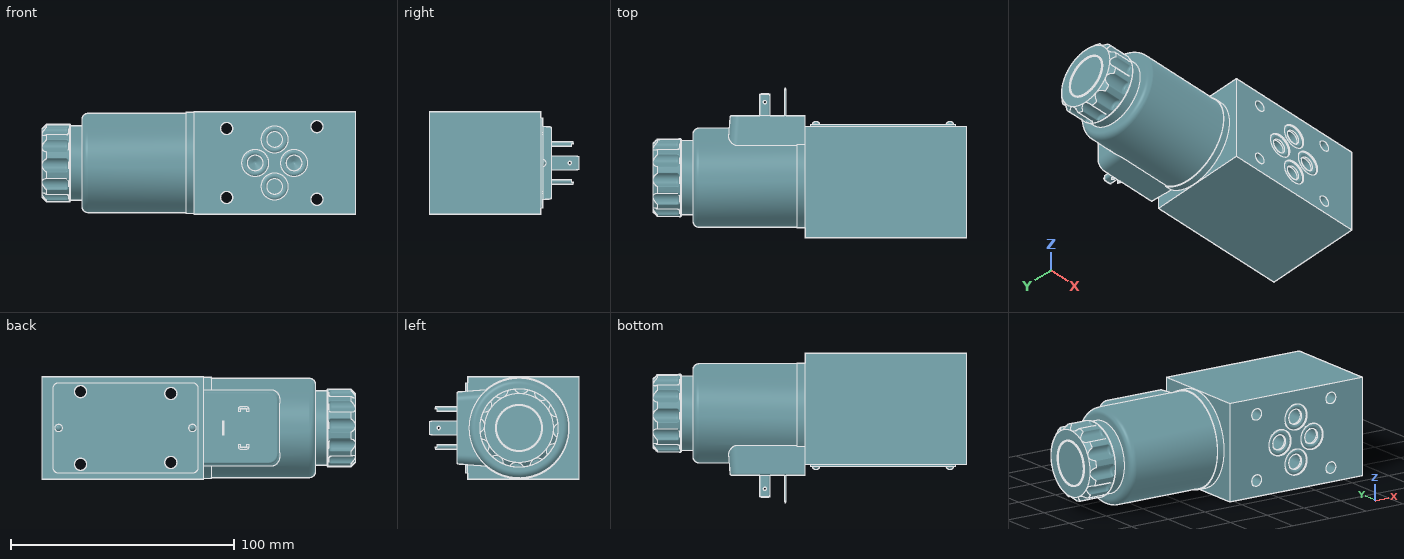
import cadquery as cq
import math


BLOCK_LENGTH = 72.3
BLOCK_DEPTH = 50.0
BLOCK_HEIGHT = 46.0
BLOCK_BACK = 23.0
BLOCK_FRONT = BLOCK_BACK - BLOCK_DEPTH
OVERALL_LENGTH = 140.4
OVERALL_DEPTH = 67.1

BOLT_HOLE_PAIRS = [(14.6, 15.5), (55.0, 16.3)]
BOLT_HOLE_DIAMETER = 5.3

PORT_CENTER_X = 36.1
DRILLED_PORT_OFFSET_X = 8.7
FLAT_PORT_OFFSET_Z = 10.5
PORT_RADIUS = 3.5
PORT_DEPTH = 11.2
DRILL_POINT_ANGLE = 118
RING_OUTER_RADIUS = 6.0
RING_CROWN_RISE = 0.7
RING_SEAT_DEPTH = 1.7

PLATE_START = 2.4
PLATE_LENGTH = 65.0
PLATE_HEIGHT = 40.4
PLATE_THICKNESS = 0.8
PLATE_CORNER_RADIUS = 2.5
RIVET_INSET = 2.5
RIVET_RADIUS = 1.7
RIVET_RISE = 1.4

COIL_RADIUS = 22.3
COIL_LENGTH = 50.3
COIL_FILLET = 3.0
FLANGE_HALF_DEPTH = 22.5
FLANGE_HALF_HEIGHT = 22.7
FLANGE_THICKNESS = 3.5
NECK_RADIUS = 16.7

NUT_RADIUS = 17.5
NUT_START = -55.3
NUT_END = BLOCK_LENGTH - OVERALL_LENGTH
NUT_LENGTH = NUT_START - NUT_END
NUT_FACE_CHAMFER = 2.1
NUT_REAR_CHAMFER = 0.4
FLUTE_COUNT = 12
FLUTE_ANGLE = 3.6
FLUTE_RADIUS = 3.4
FLUTE_DEPTH = 2.1
FLUTE_END_WALL = 1.0
FLUTE_END_FILLET = 1.1
RIB_FILLET = 0.4
FACE_GROOVE_RADIUS = 10.5
FACE_GROOVE_WIDTH = 0.4
FACE_GROOVE_DEPTH = 0.4

HEAD_LENGTH = 35.5
HEAD_HALF_WIDTH = 18.1
HEAD_CORNER_RADIUS = 4.4
HEAD_TOP = 27.8
HEAD_DRAFT = 4.0
HEAD_RIM_FILLET = 0.8

BLADE_HOLE_DIAMETER = 1.4
GROUND_X = -8.8
GROUND_WIDTH = 6.3
GROUND_THICKNESS = 0.8
GROUND_TIP = BLOCK_FRONT + OVERALL_DEPTH
GROUND_HOLE_Y = 36.0
GROUND_TIP_LENGTH = 1.3
GROUND_TIP_INSET = 0.3
CHANNEL_X = -18.0
CHANNEL_WIDTH = 4.8
CHANNEL_OUTER_Z = 9.5
CHANNEL_DEPTH = 2.1
CHANNEL_WALL = 1.0
CHANNEL_CORNER_RADIUS = 1.1
CHANNEL_TIP = 37.6
CHANNEL_HOLE_Y = 33.8
CHANNEL_TIP_LENGTH = 0.8
CHANNEL_TIP_INSET = 0.3


def axial_cylinder(radius, start, end):
    """Cylinder about the X axis from x = start to x = end."""
    return cq.Workplane("YZ", origin=(start, 0, 0)).circle(radius).extrude(end - start)


def depth_cylinder(radius, x, z, start, end):
    """Cylinder along Y at (x, z), from y = start to y = end."""
    return cq.Workplane("XZ", origin=(x, start, z)).circle(radius).extrude(start - end)


def port_places():
    """Drilled ports left and right, flat ports above and below: (x, z, drilled)."""
    places = []
    for side in (-1, 1):
        places.append((PORT_CENTER_X + side * DRILLED_PORT_OFFSET_X, 0, True))
        places.append((PORT_CENTER_X, side * FLAT_PORT_OFFSET_Z, False))
    return places


def make_block():
    return (
        cq.Workplane("XY")
        .box(BLOCK_LENGTH, BLOCK_DEPTH, BLOCK_HEIGHT, centered=(False, False, True))
        .translate((0, BLOCK_FRONT, 0))
    )


def make_name_plate():
    plate_center = PLATE_START + PLATE_LENGTH / 2
    plate = (
        cq.Workplane("XZ", origin=(plate_center, BLOCK_BACK, 0))
        .rect(PLATE_LENGTH, PLATE_HEIGHT)
        .extrude(-PLATE_THICKNESS)
        .edges("|Y")
        .fillet(PLATE_CORNER_RADIUS)
    )
    plate_top = BLOCK_BACK + PLATE_THICKNESS
    dome_radius = (RIVET_RADIUS**2 + RIVET_RISE**2) / (2 * RIVET_RISE)
    dome_center_y = plate_top + RIVET_RISE - dome_radius
    for side in (-1, 1):
        rivet_x = plate_center + side * (PLATE_LENGTH / 2 - RIVET_INSET)
        dome = cq.Workplane("XY").sphere(dome_radius).translate((rivet_x, dome_center_y, 0))
        rivet_column = depth_cylinder(RIVET_RADIUS, rivet_x, 0, BLOCK_BACK, plate_top + RIVET_RISE)
        plate = plate.union(dome.intersect(rivet_column))
    return plate


def cut_bolt_holes(body):
    plate_top = BLOCK_BACK + PLATE_THICKNESS
    for x, half_spacing in BOLT_HOLE_PAIRS:
        for side in (-1, 1):
            hole = depth_cylinder(BOLT_HOLE_DIAMETER / 2, x, side * half_spacing, BLOCK_FRONT, plate_top)
            body = body.cut(hole)
    return body


def cut_ports(body):
    port_end = BLOCK_FRONT + PORT_DEPTH
    point_length = PORT_RADIUS / math.tan(math.radians(DRILL_POINT_ANGLE / 2))
    for x, z, drilled in port_places():
        body = body.cut(depth_cylinder(RING_OUTER_RADIUS, x, z, BLOCK_FRONT, BLOCK_FRONT + RING_SEAT_DEPTH))
        body = body.cut(depth_cylinder(PORT_RADIUS, x, z, BLOCK_FRONT, port_end))
        if drilled:
            point_base = cq.Vector(x, port_end, z)
            point = cq.Solid.makeCone(PORT_RADIUS, 0, point_length, point_base, cq.Vector(0, 1, 0))
            body = body.cut(cq.Workplane(point))
    return body


def make_coil():
    coil = axial_cylinder(COIL_RADIUS, -COIL_LENGTH, 0).faces("<X").edges().fillet(COIL_FILLET)
    flange = (
        cq.Workplane("YZ", origin=(-FLANGE_THICKNESS, 0, 0))
        .ellipse(FLANGE_HALF_DEPTH, FLANGE_HALF_HEIGHT)
        .extrude(FLANGE_THICKNESS)
    )
    neck = axial_cylinder(NECK_RADIUS, NUT_START, -COIL_LENGTH)
    return coil.union(flange).union(neck)


def make_flute():
    """Round-bottomed cutter that opens through the nut face and ends short of the rear."""
    center_y = NUT_RADIUS - FLUTE_DEPTH + FLUTE_RADIUS
    return (
        cq.Workplane("YZ", origin=(NUT_END, center_y, 0))
        .circle(FLUTE_RADIUS)
        .extrude(NUT_LENGTH - FLUTE_END_WALL)
        .faces(">X")
        .edges()
        .fillet(FLUTE_END_FILLET)
    )


def is_on_nut_surface(edge):
    middle = edge.positionAt(0.5)
    return math.isclose(math.hypot(middle.y, middle.z), NUT_RADIUS, abs_tol=0.01)


def make_nut():
    nut = axial_cylinder(NUT_RADIUS, NUT_END, NUT_START)
    flute = make_flute()
    for index in range(FLUTE_COUNT):
        turn = FLUTE_ANGLE + index * 360 / FLUTE_COUNT
        nut = nut.cut(flute.rotate((0, 0, 0), (1, 0, 0), turn))
    nut = nut.edges("not (<X or >X)").filter(is_on_nut_surface).fillet(RIB_FILLET)
    chamfered_envelope = (
        axial_cylinder(NUT_RADIUS, NUT_END, NUT_START)
        .faces("<X")
        .edges()
        .chamfer(NUT_FACE_CHAMFER)
        .faces(">X")
        .edges()
        .chamfer(NUT_REAR_CHAMFER)
    )
    nut = nut.intersect(chamfered_envelope)
    groove = axial_cylinder(FACE_GROOVE_RADIUS, NUT_END, NUT_END + FACE_GROOVE_DEPTH).cut(
        axial_cylinder(FACE_GROOVE_RADIUS - FACE_GROOVE_WIDTH, NUT_END, NUT_END + FACE_GROOVE_DEPTH)
    )
    return nut.cut(groove)


def make_head():
    """Connector head with drafted sides, narrowing to +Y, and square to the block face at x = 0."""
    mirrored_head = (
        cq.Workplane("XZ")
        .rect(2 * HEAD_LENGTH, 2 * HEAD_HALF_WIDTH)
        .extrude(-HEAD_TOP, taper=HEAD_DRAFT)
        .edges("not #Y")
        .fillet(HEAD_CORNER_RADIUS)
        .faces(">Y")
        .edges()
        .fillet(HEAD_RIM_FILLET)
    )
    coil_side = cq.Workplane("XY").box(
        HEAD_LENGTH, 2 * HEAD_TOP, 2 * HEAD_HALF_WIDTH, centered=(False, True, True)
    ).translate((-HEAD_LENGTH, 0, 0))
    return mirrored_head.intersect(coil_side)


def make_ground_blade():
    """Flat blade across X, with a tapered tip and a cross hole."""
    shoulder = GROUND_TIP - GROUND_TIP_LENGTH
    blade = (
        cq.Workplane("XZ", origin=(GROUND_X, COIL_RADIUS, 0))
        .rect(GROUND_THICKNESS, GROUND_WIDTH)
        .extrude(COIL_RADIUS - shoulder)
    )
    tip = (
        cq.Workplane("XZ", origin=(GROUND_X, shoulder, 0))
        .rect(GROUND_THICKNESS, GROUND_WIDTH)
        .workplane(offset=-GROUND_TIP_LENGTH)
        .rect(GROUND_THICKNESS - 2 * GROUND_TIP_INSET, GROUND_WIDTH - 2 * GROUND_TIP_INSET)
        .loft()
    )
    hole = (
        cq.Workplane("YZ", origin=(GROUND_X, GROUND_HOLE_Y, 0))
        .circle(BLADE_HOLE_DIAMETER / 2)
        .extrude(GROUND_THICKNESS, both=True)
    )
    return blade.union(tip).cut(hole)


def make_channel_blade():
    """Sheet contact bent to a channel that opens toward the coil axis, with a longer web than flanges."""
    flange_tip = CHANNEL_TIP - CHANNEL_TIP_LENGTH
    blade_length = CHANNEL_TIP - COIL_RADIUS
    web_inner_z = CHANNEL_OUTER_Z - CHANNEL_WALL
    blade = (
        cq.Workplane("XZ", origin=(CHANNEL_X, COIL_RADIUS, CHANNEL_OUTER_Z - CHANNEL_DEPTH / 2))
        .rect(CHANNEL_WIDTH, CHANNEL_DEPTH)
        .extrude(-blade_length)
        .edges("|Y and >Z")
        .fillet(CHANNEL_CORNER_RADIUS)
        .faces(">Y")
        .edges(">Z")
        .chamfer(CHANNEL_TIP_LENGTH, CHANNEL_TIP_INSET)
    )
    channel_space = cq.Workplane("XY").box(
        CHANNEL_WIDTH - 2 * CHANNEL_WALL, blade_length, CHANNEL_DEPTH, centered=(True, False, False)
    ).translate((CHANNEL_X, COIL_RADIUS, web_inner_z - CHANNEL_DEPTH))
    flange_end_space = cq.Workplane("XY").box(
        CHANNEL_WIDTH, CHANNEL_TIP_LENGTH, CHANNEL_DEPTH, centered=(True, False, False)
    ).translate((CHANNEL_X, flange_tip, web_inner_z - CHANNEL_DEPTH))
    hole = (
        cq.Workplane("XY", origin=(CHANNEL_X, CHANNEL_HOLE_Y, 0))
        .circle(BLADE_HOLE_DIAMETER / 2)
        .extrude(CHANNEL_OUTER_Z)
    )
    return blade.cut(channel_space).cut(flange_end_space).cut(hole)


def make_valve():
    valve = make_block().union(make_name_plate())
    valve = cut_bolt_holes(valve)
    valve = cut_ports(valve)
    valve = valve.union(make_coil()).union(make_nut()).union(make_head())
    channel_blade = make_channel_blade()
    valve = valve.union(channel_blade).union(channel_blade.mirror("XY"))
    return valve.union(make_ground_blade())


def make_o_ring(x, z):
    """Pressed O-ring that fills a port counterbore, with a crown that rises flush with the front face."""
    crown_edge_y = BLOCK_FRONT + RING_CROWN_RISE
    seat_y = BLOCK_FRONT + RING_SEAT_DEPTH
    crown_radius = (PORT_RADIUS + RING_OUTER_RADIUS) / 2
    section = (
        cq.Workplane("XY")
        .moveTo(PORT_RADIUS, seat_y)
        .lineTo(PORT_RADIUS, crown_edge_y)
        .threePointArc((crown_radius, BLOCK_FRONT), (RING_OUTER_RADIUS, crown_edge_y))
        .lineTo(RING_OUTER_RADIUS, seat_y)
        .close()
    )
    ring = section.revolve(360, (0, 0, 0), (0, 1, 0))
    return ring.translate((x, 0, z)).val()


valve = make_valve()
o_rings = [make_o_ring(x, z) for x, z, drilled in port_places()]

result = cq.Compound.makeCompound([valve.val(), *o_rings])